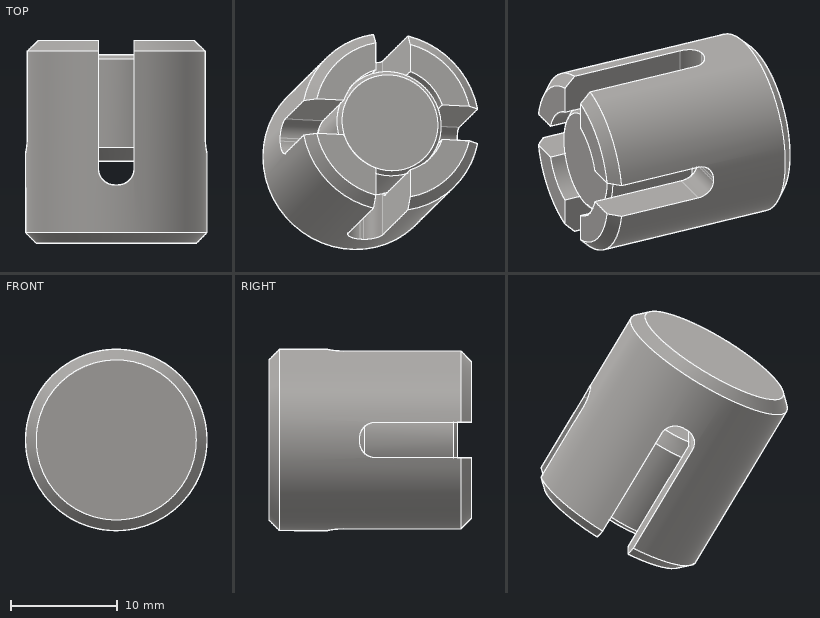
import cadquery as cq

LENGTH = 19.0
OUTER_DIAMETER = 17.0
EDGE_CHAMFER = 1.0
BACK_Y = LENGTH / 2

SLOT_WIDTH = 3.3
SLOT_CORNER_RADIUS = 1.5
VERTICAL_SLOT_DEPTH = 13.5
HORIZONTAL_SLOT_DEPTH = 10.5

SCREW_DIAMETER = 10.0
SCREW_LENGTH = 10.0
SCREW_RECESS = 1.33
SCREW_CHAMFER = 0.4
TIP_CHAMFER = 1.3
BORE_DEPTH = SCREW_RECESS + SCREW_LENGTH


def cylinder_from_back(diameter, length):
    """Cylinder along Y that runs from the +Y end face toward -Y."""
    end_face = cq.Workplane("XZ", origin=(0, BACK_Y, 0))
    return end_face.circle(diameter / 2).extrude(length)


def slot_cutter(plane_name, through_edges, depth):
    """Slot through the whole housing, square to the named plane, with rounded corners at its closed end."""
    overrun = SLOT_CORNER_RADIUS
    length = depth + overrun
    return (
        cq.Workplane(plane_name)
        .center(0, BACK_Y - depth + length / 2)
        .rect(SLOT_WIDTH, length)
        .extrude(OUTER_DIAMETER, both=True)
        .faces("<Y")
        .edges(through_edges)
        .fillet(SLOT_CORNER_RADIUS)
    )


def make_housing():
    """Chamfered cylinder with a blind bore and two crossing slots."""
    body = cylinder_from_back(OUTER_DIAMETER, LENGTH).edges().chamfer(EDGE_CHAMFER)
    bore = cylinder_from_back(SCREW_DIAMETER, BORE_DEPTH)
    vertical_slot = slot_cutter("XY", "|Z", VERTICAL_SLOT_DEPTH)
    horizontal_slot = slot_cutter("ZY", "|X", HORIZONTAL_SLOT_DEPTH)
    return body.cut(bore).cut(vertical_slot).cut(horizontal_slot)


def make_set_screw():
    """Set screw revolved about Y, with a chamfered head end and a larger chamfer at its flat tip."""
    radius = SCREW_DIAMETER / 2
    head_y = BACK_Y - SCREW_RECESS
    tip_y = head_y - SCREW_LENGTH
    return (
        cq.Workplane("XY")
        .moveTo(0, head_y)
        .lineTo(radius - SCREW_CHAMFER, head_y)
        .lineTo(radius, head_y - SCREW_CHAMFER)
        .lineTo(radius, tip_y + TIP_CHAMFER)
        .lineTo(radius - TIP_CHAMFER, tip_y)
        .lineTo(0, tip_y)
        .close()
        .revolve(360, (0, 0, 0), (0, 1, 0))
    )


housing = make_housing()
set_screw = make_set_screw()

result = cq.Compound.makeCompound([housing.val(), set_screw.val()])